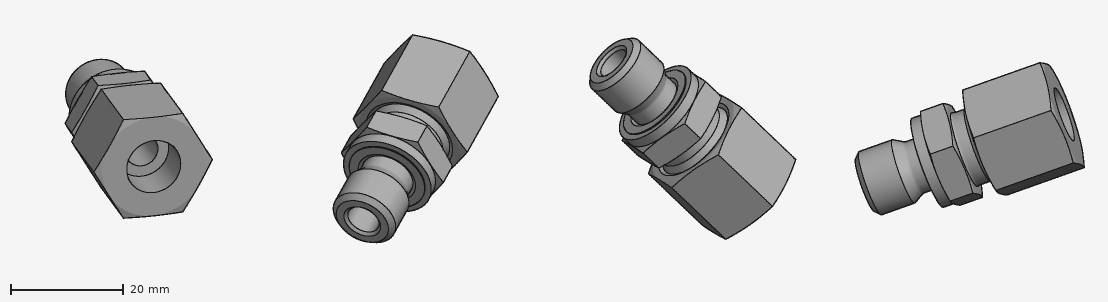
import cadquery as cq
import math


flange_start = 11.95
hex_start = 13.95
hex_end = 19.0
nut_start = 22.42
nut_end = 38.0
fitting_end = 30.02

nut_flats = 19.0
fitting_flats = 17.0
hex_chamfer_angle = 15.0
flange_diameter = 16.87

stud_diameter = 12.0
stud_chamfer = 1.0
stud_cylinder_end = 7.35
neck_diameter = 9.73
undercut_angle = 30.0
undercut_fillet = 1.15

groove_diameter = 13.68
groove_end = 21.5
thread_diameter = 15.2

bore_diameter = 6.0
bore_chamfer = 0.55
tube_hole_diameter = 10.0

nut_mouth_diameter = 16.55
countersink_angle = 120.0

seal_diameter = 14.5
seal_protrusion = 0.23
seal_depth = 1.5
seal_end = flange_start + seal_depth
seal_mouth_diameter = 11.02


def revolve_about_x(profile):
    """Turn a closed profile, drawn as (x, radius), around the X axis."""
    return profile.close().revolve(360, (0, 0, 0), (1, 0, 0))


def cylinder(start, end, diameter):
    return cq.Workplane("YZ").workplane(offset=start).circle(diameter / 2).extrude(end - start)


def ring(start, end, outer_diameter, inner_diameter):
    return cylinder(start, end, outer_diameter).cut(cylinder(start, end, inner_diameter))


def countersink(start, mouth_diameter):
    """Full cone that narrows toward +X from its mouth."""
    mouth_radius = mouth_diameter / 2
    depth = mouth_radius / math.tan(math.radians(countersink_angle / 2))
    return revolve_about_x(
        cq.Workplane("XY").moveTo(start, 0).lineTo(start, mouth_radius).lineTo(start + depth, 0)
    )


def chamfered_hexagon(start, end, flats, face_diameter):
    """Hexagonal prism whose corners are cut by a shallow cone at both ends."""
    corner_diameter = flats / math.cos(math.radians(30))
    prism = cq.Workplane("YZ").workplane(offset=start).polygon(6, corner_diameter).extrude(end - start)
    corner_radius = corner_diameter / 2
    face_radius = face_diameter / 2
    depth = (corner_radius - face_radius) * math.tan(math.radians(hex_chamfer_angle))
    envelope = revolve_about_x(
        cq.Workplane("XY")
        .moveTo(start, 0)
        .lineTo(start, face_radius)
        .lineTo(start + depth, corner_radius)
        .lineTo(end - depth, corner_radius)
        .lineTo(end, face_radius)
        .lineTo(end, 0)
    )
    return prism.intersect(envelope)


def make_turned_blank():
    """Stud, neck, flange, groove and connection thread as one turned shape."""
    stud_radius = stud_diameter / 2
    neck_radius = neck_diameter / 2
    groove_radius = groove_diameter / 2
    thread_radius = thread_diameter / 2
    flange_radius = flange_diameter / 2
    slope = math.tan(math.radians(undercut_angle))

    fillet_length = undercut_fillet * math.sin(math.radians(undercut_angle))
    fillet_rise = undercut_fillet * (1 - math.cos(math.radians(undercut_angle)))
    half_angle = math.radians(undercut_angle / 2)
    half_length = undercut_fillet * math.sin(half_angle)
    half_rise = undercut_fillet * (1 - math.cos(half_angle))

    cone_end = stud_cylinder_end + (stud_radius - neck_radius - fillet_rise) / slope
    neck_start = cone_end + fillet_length
    groove_start = hex_end + fillet_length
    thread_start = groove_end + (thread_radius - groove_radius) / slope

    return revolve_about_x(
        cq.Workplane("XY")
        .moveTo(0, 0)
        .lineTo(0, stud_radius - stud_chamfer)
        .lineTo(stud_chamfer, stud_radius)
        .lineTo(stud_cylinder_end, stud_radius)
        .lineTo(cone_end, neck_radius + fillet_rise)
        .threePointArc((neck_start - half_length, neck_radius + half_rise), (neck_start, neck_radius))
        .lineTo(flange_start, neck_radius)
        .lineTo(flange_start, flange_radius)
        .lineTo(hex_end, flange_radius)
        .lineTo(hex_end, groove_radius + fillet_rise)
        .threePointArc((groove_start - half_length, groove_radius + half_rise), (groove_start, groove_radius))
        .lineTo(groove_end, groove_radius)
        .lineTo(thread_start, thread_radius)
        .lineTo(fitting_end, thread_radius)
        .lineTo(fitting_end, 0)
    )


def make_fitting_bore():
    """Through bore with a chamfer at the stud tip."""
    bore_radius = bore_diameter / 2
    return revolve_about_x(
        cq.Workplane("XY")
        .moveTo(0, 0)
        .lineTo(0, bore_radius + bore_chamfer)
        .lineTo(bore_chamfer, bore_radius)
        .lineTo(fitting_end, bore_radius)
        .lineTo(fitting_end, 0)
    )


def make_fitting():
    seal_recess = ring(flange_start, seal_end, seal_diameter, neck_diameter)
    hexagon = chamfered_hexagon(hex_start, hex_end, fitting_flats, flange_diameter)
    return make_turned_blank().union(hexagon).cut(make_fitting_bore()).cut(seal_recess)


def make_seal_ring():
    """Ring in the flange recess, standing slightly proud, with a countersunk mouth."""
    seal_start = flange_start - seal_protrusion
    blank = ring(seal_start, seal_end, seal_diameter, neck_diameter)
    return blank.cut(countersink(seal_start, seal_mouth_diameter))


def make_union_nut():
    """Nut with a countersunk bore for the connection thread and a smaller tube hole behind it."""
    hexagon = chamfered_hexagon(nut_start, nut_end, nut_flats, nut_flats)
    thread_bore = cylinder(nut_start, fitting_end, thread_diameter)
    tube_hole = cylinder(fitting_end, nut_end, tube_hole_diameter)
    return hexagon.cut(thread_bore).cut(tube_hole).cut(countersink(nut_start, nut_mouth_diameter))


fitting = make_fitting()
seal_ring = make_seal_ring()
union_nut = make_union_nut()

result = cq.Compound.makeCompound([fitting.val(), seal_ring.val(), union_nut.val()])